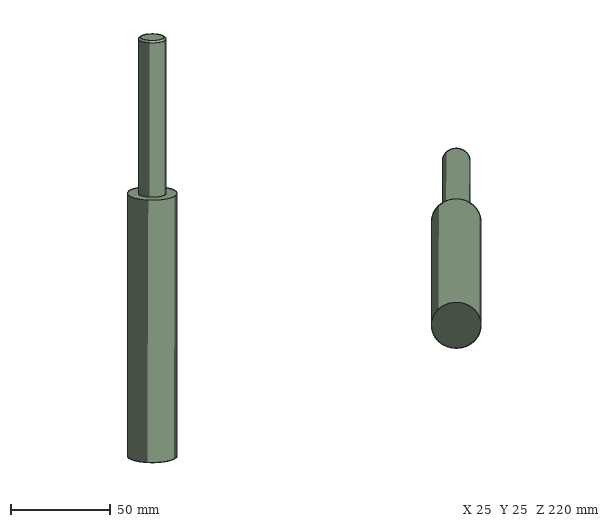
import cadquery as cq

total_length = 220.0
body_diameter = 25.0
body_length = 138.0

rod_diameter = 14.0
rod_length = total_length - body_length
rod_tip_chamfer = 1.0

body = cq.Workplane("XY").circle(body_diameter / 2).extrude(body_length)

rod = (
    cq.Workplane("XY")
    .workplane(offset=body_length)
    .circle(rod_diameter / 2)
    .extrude(rod_length)
    .faces(">Z")
    .chamfer(rod_tip_chamfer)
)

result = body.union(rod)